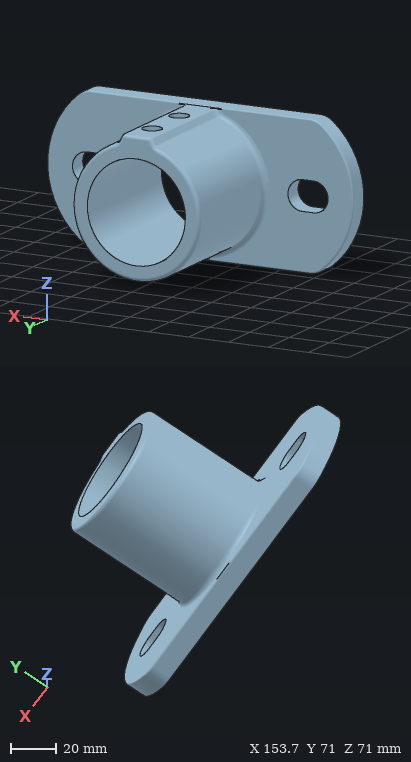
import cadquery as cq
import math

flange_length = 153.7
flange_height = 71.0
flange_thickness = 10.0
end_arc_radius = 43.0
corner_radius = 10.0
flange_edge_round = 0.9

slot_length = 20.0
slot_height = 14.5
slot_offset = 54.0

total_depth = 71.0
tube_diameter = 64.0
bore_diameter = 49.0
rib_top_width = 14.0
rib_side_angle = 60.0
rib_top = 35.0
rib_foot = 27.7
rib_round = 2.0
rib_root_fillet = 3.0
free_end_round = 2.0
base_fillet = 2.9

screw_hole_diameter = 9.0
screw_hole_depths = (30.0, 56.0)


def front_plane(y=0.0):
    """Sketch plane at depth y: local x is X, local y is Z, normal is -Y."""
    return cq.Workplane("XZ", origin=(0, y, 0))


def make_flange():
    half_length = flange_length / 2
    half_height = flange_height / 2
    arc_center = half_length - end_arc_radius
    corner_x = arc_center + math.sqrt(end_arc_radius**2 - half_height**2)
    plate = (
        front_plane()
        .moveTo(-corner_x, -half_height)
        .lineTo(corner_x, -half_height)
        .threePointArc((half_length, 0), (corner_x, half_height))
        .lineTo(-corner_x, half_height)
        .threePointArc((-half_length, 0), (-corner_x, -half_height))
        .close()
        .extrude(-flange_thickness)
    )
    plate = plate.edges("|Y").fillet(corner_radius)
    return plate.faces(">Y").edges().fillet(flange_edge_round)


def make_tube():
    """Solid tube and rib, with the fillet that meets the flange."""
    tube_radius = tube_diameter / 2
    tube = front_plane().circle(tube_radius).extrude(-total_depth)

    flare = 1 / math.tan(math.radians(rib_side_angle))
    half_top = rib_top_width / 2
    half_foot = half_top + flare * (rib_top - rib_foot)
    rib = (
        front_plane()
        .polyline([(-half_foot, rib_foot), (half_foot, rib_foot), (half_top, rib_top), (-half_top, rib_top)])
        .close()
        .extrude(-total_depth)
    )
    rib = rib.edges("|Y and >Z").fillet(rib_round)
    body = tube.union(rib)

    side_start = half_top + flare * rib_top
    square_term = 1 + flare**2
    half_linear = side_start * flare
    discriminant = half_linear**2 - square_term * (side_start**2 - tube_radius**2)
    root_z = (half_linear + math.sqrt(discriminant)) / square_term
    root_x = side_start - flare * root_z
    for side in (-1, 1):
        root = cq.selectors.NearestToPointSelector((side * root_x, total_depth / 2, root_z))
        body = body.edges(root).fillet(rib_root_fillet)
    body = body.faces(">Y").edges().fillet(free_end_round)

    slab = front_plane().rect(flange_length, flange_length).extrude(-flange_thickness)
    body = body.union(slab)
    reach = flange_height / 2
    shoulder = cq.selectors.BoxSelector(
        (-reach, flange_thickness - base_fillet / 2, -reach),
        (reach, flange_thickness + base_fillet / 2, reach),
    )
    body = body.edges(shoulder).fillet(base_fillet)
    trim = front_plane().rect(tube_diameter + 4 * base_fillet, 2 * rib_top).extrude(-total_depth)
    return body.cut(slab).intersect(trim)


def cut_openings(body):
    bore = front_plane().circle(bore_diameter / 2).extrude(-total_depth)
    slots = (
        front_plane()
        .pushPoints([(-slot_offset, 0), (slot_offset, 0)])
        .slot2D(slot_length, slot_height)
        .extrude(-flange_thickness)
    )
    screw_holes = (
        cq.Workplane("XY")
        .pushPoints([(0, depth) for depth in screw_hole_depths])
        .circle(screw_hole_diameter / 2)
        .extrude(rib_top)
    )
    return body.cut(bore).cut(slots).cut(screw_holes)


result = cut_openings(make_flange().union(make_tube()))